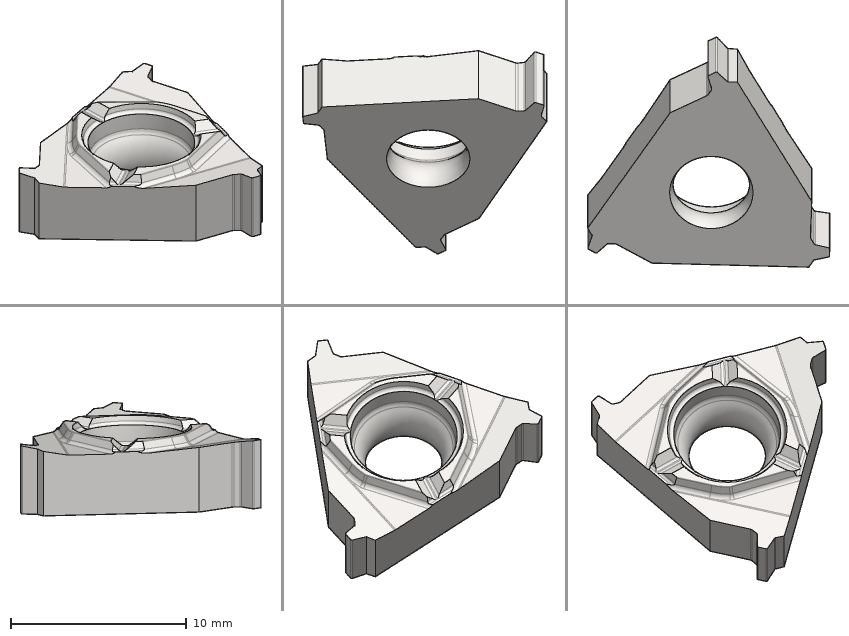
import cadquery as cq
import math

ARM_COUNT = 3
ARM_STEP = 360 / ARM_COUNT
LONG_SIDE_DIRECTION = 180 - ARM_STEP
REACH = 11.1

side_distance = 4.77
shoulder_y = 5.75
corner_y = 5.71
ramp_angle = 30.0
tooth_root_y = 5.99
tooth_tip_y = 6.88
tooth_tip_left = -4.05
tooth_tip_right = -3.47
tooth_root_right = -3.26
tip_round = 0.08
root_round = 0.12
ramp_round = 0.24

floor_z = 3.51
ledge_z = 3.62
top_z = 4.1

rake_angle = 10.0
rake_start_y = 4.23
rake_blend = 0.08

boss_radius = 3.7
slant_distance = 3.58
slant_direction = 122.0
flank_draft = 30.0
foot_fillet = 0.35
top_round = 0.04
corner_round = 0.7
end_distance = 4.23
end_fillet = 0.2

groove_direction = 166.0
groove_floor_half_width = 0.14
groove_wall_angle = 40.0
groove_fillet = 0.28

rim_radius = 3.41
rim_foot_radius = 3.31
rim_foot_z = 3.8
rim_floor_radius = 3.07
bore_radius = 3.05
bore_low_radius = 2.98
bore_low_z = 2.68
throat_radius = 2.18
throat_z = 0.89
throat_top_z = 2.37
throat_curve = 2.04


def polar(radius, degrees):
    angle = math.radians(degrees)
    return (radius * math.cos(angle), radius * math.sin(angle))


def line_crossing(distance_a, direction_a, distance_b, direction_b):
    """Meeting point of two lines, each given by its distance from the centre and normal."""
    ax, ay = polar(1, direction_a)
    bx, by = polar(1, direction_b)
    determinant = ax * by - ay * bx
    x = (distance_a * by - distance_b * ay) / determinant
    y = (distance_b * ax - distance_a * bx) / determinant
    return (x, y)


def turn(point, degrees):
    radius = math.hypot(*point)
    return polar(radius, math.degrees(math.atan2(point[1], point[0])) + degrees)


def on_each_arm(shape):
    return [shape.rotate((0, 0, 0), (0, 0, 1), i * ARM_STEP) for i in range(ARM_COUNT)]


def fillet_on_each_arm(solid, point, z, radius):
    """Rounds the edge nearest to the given point, and its copies on the other arms."""
    for i in range(ARM_COUNT):
        x, y = turn(point, i * ARM_STEP)
        solid = solid.edges(cq.NearestToPointSelector((x, y, z))).fillet(radius)
    return solid


def outline_prism():
    """Full-height prism with the outline of the three toothed arms."""
    ramp_slope = math.tan(math.radians(ramp_angle))
    shoulder_end = line_crossing(shoulder_y, 90, side_distance, LONG_SIDE_DIRECTION)
    ramp_end = (tooth_root_right + (tooth_root_y - shoulder_y) / ramp_slope, shoulder_y)
    root_right = (tooth_root_right, tooth_root_y)
    tip_right = (tooth_tip_right, tooth_tip_y)
    tip_left = (tooth_tip_left, tooth_tip_y)
    root_left = (-side_distance + (tooth_root_y - corner_y) / ramp_slope, tooth_root_y)
    corner = (-side_distance, corner_y)

    arm = [corner, root_left, tip_left, tip_right, root_right, ramp_end, shoulder_end]
    points = [turn(point, -i * ARM_STEP) for i in range(ARM_COUNT) for point in arm]
    prism = cq.Workplane("XY").polyline(points).close().extrude(top_z)

    rounds = [
        (tip_left, tip_round),
        (tip_right, tip_round),
        (root_right, root_round),
        (ramp_end, ramp_round),
    ]
    for point, radius in rounds:
        prism = fillet_on_each_arm(prism, point, top_z / 2, radius)
    return prism


def rake_block():
    """Slab over the +Y arm whose top is level at first and then climbs to the tooth."""
    rise = math.tan(math.radians(rake_angle))
    blend_end_y = rake_start_y + rake_blend
    blend_end_z = floor_z + rake_blend * math.tan(math.radians(rake_angle / 2))
    inner_y = rake_start_y / 2
    return (
        cq.Workplane("YZ", origin=(-REACH, 0, 0))
        .moveTo(inner_y, 0)
        .lineTo(inner_y, floor_z)
        .lineTo(rake_start_y, floor_z)
        .tangentArcPoint((blend_end_y, blend_end_z), relative=False)
        .lineTo(REACH, blend_end_z + (REACH - blend_end_y) * rise)
        .lineTo(REACH, 0)
        .close()
        .extrude(2 * REACH)
    )


def boss_on_floor():
    """Wide floor slab carrying the drafted boss, filleted along its foot."""
    height = top_z - floor_z
    spread = height * math.tan(math.radians(flank_draft))
    radius = boss_radius + spread
    slant = slant_distance + spread
    corner_direction = slant_direction - math.degrees(math.acos(slant / radius))

    straight_start = (0, radius)
    arc_middle = polar(radius, (90 + corner_direction) / 2)
    arc_end = polar(radius, corner_direction)
    slant_end = line_crossing(slant, slant_direction, radius, 90 + ARM_STEP)

    outline = cq.Workplane("XY", origin=(0, 0, floor_z)).moveTo(*straight_start)
    for i in range(ARM_COUNT):
        start, middle, end, corner = [
            turn(point, i * ARM_STEP)
            for point in (straight_start, arc_middle, arc_end, slant_end)
        ]
        if i > 0:
            outline = outline.lineTo(*start)
        outline = outline.threePointArc(middle, end).lineTo(*corner)
    boss = outline.close().extrude(height, taper=flank_draft)

    blend_point = polar(radius - spread / 2, corner_direction)
    boss = fillet_on_each_arm(boss, blend_point, floor_z + height / 2, corner_round)
    boss = boss.faces(">Z").edges().fillet(top_round)

    slab = cq.Workplane("XY").circle(REACH).extrude(floor_z)
    joined = slab.union(boss)
    floor_face = joined.faces(cq.NearestToPointSelector((0, 0, floor_z))).val()
    foot_edges = floor_face.innerWires()[0].Edges()
    return joined.newObject(foot_edges).fillet(foot_fillet)


def end_cutter():
    """Trims the boss beside the -X long side, leaving a ledge below a leaning flank."""
    lean = math.tan(math.radians(flank_draft))
    foot_x = -end_distance - (top_z - ledge_z) * lean
    high = 2 * top_z
    profile = [
        (-REACH, ledge_z),
        (foot_x, ledge_z),
        (foot_x + (high - ledge_z) * lean, high),
        (-REACH, high),
    ]
    cutter = cq.Workplane("XZ", origin=(0, REACH, 0)).polyline(profile).close().extrude(2 * REACH)
    return cutter.edges(cq.NearestToPointSelector((foot_x, 0, ledge_z))).fillet(end_fillet)


def groove_cutter():
    """V-shaped bar with a rounded bottom, running outward from the centre."""
    high = 2 * top_z
    half_top = groove_floor_half_width + (high - ledge_z) / math.tan(math.radians(groove_wall_angle))
    profile = [
        (-groove_floor_half_width, ledge_z),
        (groove_floor_half_width, ledge_z),
        (half_top, high),
        (-half_top, high),
    ]
    bar = cq.Workplane("YZ").polyline(profile).close().extrude(REACH)
    bar = bar.edges("|X").edges("<Z").fillet(groove_fillet)
    return bar.rotate((0, 0, 0), (0, 0, 1), groove_direction)


def hole_cutter():
    """Rim recess and tapered bore above an hourglass throat, as one turned profile."""
    def throat_wall(z):
        return throat_radius + throat_curve - math.sqrt(throat_curve**2 - (z - throat_z)**2)

    return (
        cq.Workplane("XZ")
        .lineTo(throat_wall(0), 0)
        .threePointArc((throat_radius, throat_z), (throat_wall(throat_top_z), throat_top_z))
        .tangentArcPoint((bore_low_radius, bore_low_z), relative=False)
        .lineTo(bore_radius, ledge_z)
        .lineTo(rim_floor_radius, ledge_z)
        .tangentArcPoint((rim_foot_radius, rim_foot_z), relative=False)
        .lineTo(rim_radius, top_z)
        .lineTo(0, top_z)
        .close()
        .revolve(360, (0, 0, 0), (0, 1, 0))
    )


prism = outline_prism()
body = boss_on_floor()
for cutter in on_each_arm(end_cutter()) + on_each_arm(groove_cutter()):
    body = body.cut(cutter)
for block in on_each_arm(rake_block()):
    body = body.union(block.intersect(prism))
result = body.intersect(prism).cut(hole_cutter())